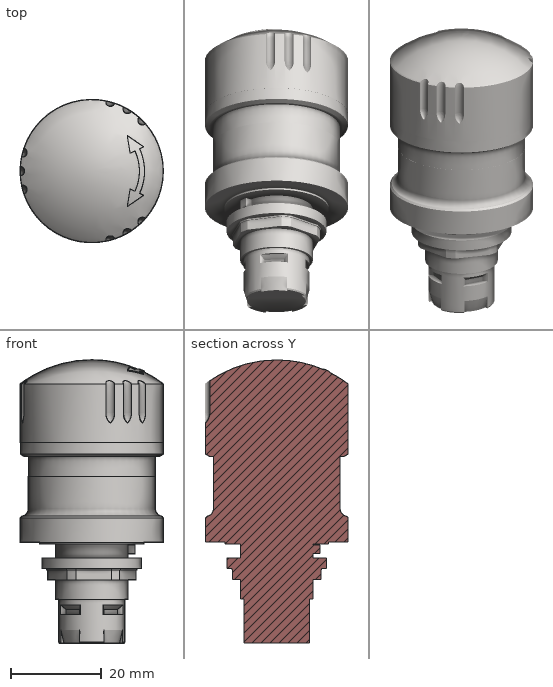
import cadquery as cq
import math

total_height = 62.55
cap_radius = 31.6 / 2

snout_radius = 14.65 / 2
snout_top = 9.7
snout_chamfer_width = 0.2
snout_chamfer_height = 0.3

neck_radius = 16.0 / 2
nut_bottom = 14.0
nut_lip_bottom = 16.2
washer_bottom = 16.5
washer_top = 18.9
washer_radius = 22.0 / 2
nut_corner_radius = 19.5 / 2
nut_flats = 17.9
nut_angle = 2.7
nut_lip = 0.2

key_bottom = 19.75
key_top = 21.75
key_reach = 9.6
key_width = 1.9

gasket_bottom = 21.9
gasket_radius = 23.0 / 2
bezel_bottom = 22.25
bezel_shoulder = 27.7
bezel_top = 28.1
bezel_top_radius = 15.4
bezel_flare_mid = (14.45, 28.6)
flare_top = 29.8

body_radius = 28.1 / 2
body_step = 36.85
upper_body_radius = 28.0 / 2

cap_bottom = 41.15
cap_bottom_radius = 29.6 / 2
cap_bevel_top = 41.7
skirt_radius = 31.5 / 2
skirt_top = 44.35
cap_side_top = 57.2
dome_base = 57.35
dome_base_radius = 15.6
dome_rise = total_height - dome_base
dome_sphere_radius = (dome_base_radius**2 + dome_rise**2) / (2 * dome_rise)

groove_radius = 1.0
groove_floor = 50.7
groove_tip_length = 2.1
groove_tip_arc_radius = (groove_tip_length**2 + groove_radius**2) / (2 * groove_radius)
groove_pitch = 15.0
groove_group_angles = (60, 180, 300)

arrow_inner_radius = 10.5
arrow_outer_radius = 11.65
arrow_head_inner_radius = 9.3
arrow_head_outer_radius = 12.65
arrow_head_angle = 25.0
arrow_tip_angle = 45.0
arrow_height = 0.2

diagonal_angles = (45, 135, 225, 315)
window_bottom = 6.45
window_top = 8.5
window_width = 6.1
window_floor_top = 7.5
window_floor_width = 4.25
window_floor_distance = 5.9
window_ledge_distance = math.sqrt(snout_radius**2 - (window_width / 2) ** 2)
relief_top = 2.95
relief_width = 5.75
relief_foot_radius = 6.45


def polar(radius, angle):
    """Point at a radius and an angle in degrees."""
    return (radius * math.cos(math.radians(angle)), radius * math.sin(math.radians(angle)))


def dome_height(radius):
    """Height of the dome surface at a distance from the axis."""
    center = total_height - dome_sphere_radius
    return center + math.sqrt(dome_sphere_radius**2 - radius**2)


def make_turned_body():
    """All the round steps, from the snout up to the dome, in one revolve."""
    dome_mid_radius = dome_base_radius / 2
    return (
        cq.Workplane("XZ")
        .moveTo(0, 0)
        .lineTo(snout_radius - snout_chamfer_width, 0)
        .lineTo(snout_radius, snout_chamfer_height)
        .lineTo(snout_radius, snout_top)
        .lineTo(neck_radius, snout_top)
        .lineTo(neck_radius, washer_bottom)
        .lineTo(washer_radius, washer_bottom)
        .lineTo(washer_radius, washer_top)
        .lineTo(neck_radius, washer_top)
        .lineTo(neck_radius, gasket_bottom)
        .lineTo(gasket_radius, gasket_bottom)
        .lineTo(gasket_radius, bezel_bottom)
        .lineTo(cap_radius, bezel_bottom)
        .lineTo(cap_radius, bezel_shoulder)
        .lineTo(bezel_top_radius, bezel_top)
        .threePointArc(bezel_flare_mid, (body_radius, flare_top))
        .lineTo(body_radius, body_step)
        .lineTo(upper_body_radius, body_step)
        .lineTo(upper_body_radius, cap_bottom)
        .lineTo(cap_bottom_radius, cap_bottom)
        .lineTo(skirt_radius, cap_bevel_top)
        .lineTo(skirt_radius, skirt_top)
        .lineTo(cap_radius, skirt_top)
        .lineTo(cap_radius, cap_side_top)
        .lineTo(dome_base_radius, dome_base)
        .threePointArc((dome_mid_radius, dome_height(dome_mid_radius)), (0, total_height))
        .close()
        .revolve(360, (0, 0, 0), (0, 1, 0))
    )


def make_rounded_hexagon(bottom, top, growth):
    """Hexagonal prism with its corners turned down, grown outward on every side."""
    height = top - bottom
    corner_diameter = (nut_flats + 2 * growth) / math.cos(math.radians(30))
    hexagon = cq.Workplane("XY").polygon(6, corner_diameter).extrude(height)
    disc = cq.Workplane("XY").circle(nut_corner_radius + growth).extrude(height)
    return hexagon.intersect(disc).rotate((0, 0, 0), (0, 0, 1), nut_angle).translate((0, 0, bottom))


def make_nut():
    """Clamping nut with a thin lip under the washer."""
    nut = make_rounded_hexagon(nut_bottom, washer_bottom, 0)
    return nut.union(make_rounded_hexagon(nut_lip_bottom, washer_bottom, nut_lip))


def make_key():
    """Block that sticks out of the neck on the +X side."""
    return cq.Workplane("XY").box(
        key_reach, key_width, key_top - key_bottom, centered=(False, True, False)
    ).translate((0, 0, key_bottom))


def make_groove():
    """Round groove on the cap side at +X, open at the dome and ending in a pointed tip below."""
    tip_middle = groove_tip_length / 2
    tip_arc_center = groove_radius - groove_tip_arc_radius
    tip_middle_radius = tip_arc_center + math.sqrt(groove_tip_arc_radius**2 - tip_middle**2)
    length = total_height - groove_floor
    straight = cq.Workplane("XY").circle(groove_radius).extrude(length)
    tip = (
        cq.Workplane("XZ")
        .moveTo(0, 0)
        .lineTo(groove_radius, 0)
        .threePointArc((tip_middle_radius, -tip_middle), (0, -groove_tip_length))
        .close()
        .revolve(360, (0, 0, 0), (0, 1, 0))
    )
    return straight.union(tip).translate((cap_radius, 0, groove_floor))


def make_arrow():
    """Double-headed arc arrow that stands slightly proud of the dome."""
    head = arrow_head_angle
    tip_radius = (arrow_inner_radius + arrow_outer_radius) / 2
    prism = (
        cq.Workplane("XY", origin=(0, 0, dome_base))
        .moveTo(*polar(arrow_outer_radius, -head))
        .threePointArc((arrow_outer_radius, 0), polar(arrow_outer_radius, head))
        .lineTo(*polar(arrow_head_outer_radius, head))
        .lineTo(*polar(tip_radius, arrow_tip_angle))
        .lineTo(*polar(arrow_head_inner_radius, head))
        .lineTo(*polar(arrow_inner_radius, head))
        .threePointArc((arrow_inner_radius, 0), polar(arrow_inner_radius, -head))
        .lineTo(*polar(arrow_head_inner_radius, -head))
        .lineTo(*polar(tip_radius, -arrow_tip_angle))
        .lineTo(*polar(arrow_head_outer_radius, -head))
        .close()
        .extrude(dome_rise)
    )
    raised_dome = (
        cq.Workplane("XY")
        .sphere(dome_sphere_radius + arrow_height)
        .translate((0, 0, total_height - dome_sphere_radius))
    )
    return prism.intersect(raised_dome)


def make_window():
    """Latch window facing +X: a straight mouth, then a tapered pocket to a flat floor."""
    mouth_height = window_top - window_bottom
    floor_height = window_floor_top - window_bottom
    mouth = cq.Workplane("XY").box(
        snout_radius, window_width, mouth_height, centered=(False, True, False)
    ).translate((window_ledge_distance, 0, window_bottom))
    pocket = (
        cq.Workplane("YZ", origin=(window_floor_distance, 0, window_bottom))
        .center(0, floor_height / 2)
        .rect(window_floor_width, floor_height)
        .workplane(offset=window_ledge_distance - window_floor_distance)
        .center(0, (mouth_height - floor_height) / 2)
        .rect(window_width, mouth_height)
        .loft(ruled=True)
    )
    return mouth.union(pocket)


def make_relief():
    """Relief at the foot of the snout facing +X, with a conical back that leans inward."""
    cone = (
        cq.Workplane("XZ")
        .polyline([(0, 0), (relief_foot_radius, 0), (snout_radius, relief_top), (0, relief_top)])
        .close()
        .revolve(360, (0, 0, 0), (0, 1, 0))
    )
    block = cq.Workplane("XY").box(
        2 * snout_radius, relief_width, relief_top, centered=(False, True, False)
    )
    return block.cut(cone)


def turn(shape, angle):
    """Copy of a shape turned about the Z axis."""
    return shape.rotate((0, 0, 0), (0, 0, 1), angle)


result = make_turned_body().union(make_nut()).union(make_key()).union(make_arrow())

groove = make_groove()
for group_angle in groove_group_angles:
    for step in (-1, 0, 1):
        result = result.cut(turn(groove, group_angle + step * groove_pitch))

window = make_window()
relief = make_relief()
for diagonal_angle in diagonal_angles:
    result = result.cut(turn(window, diagonal_angle))
    result = result.cut(turn(relief, diagonal_angle))